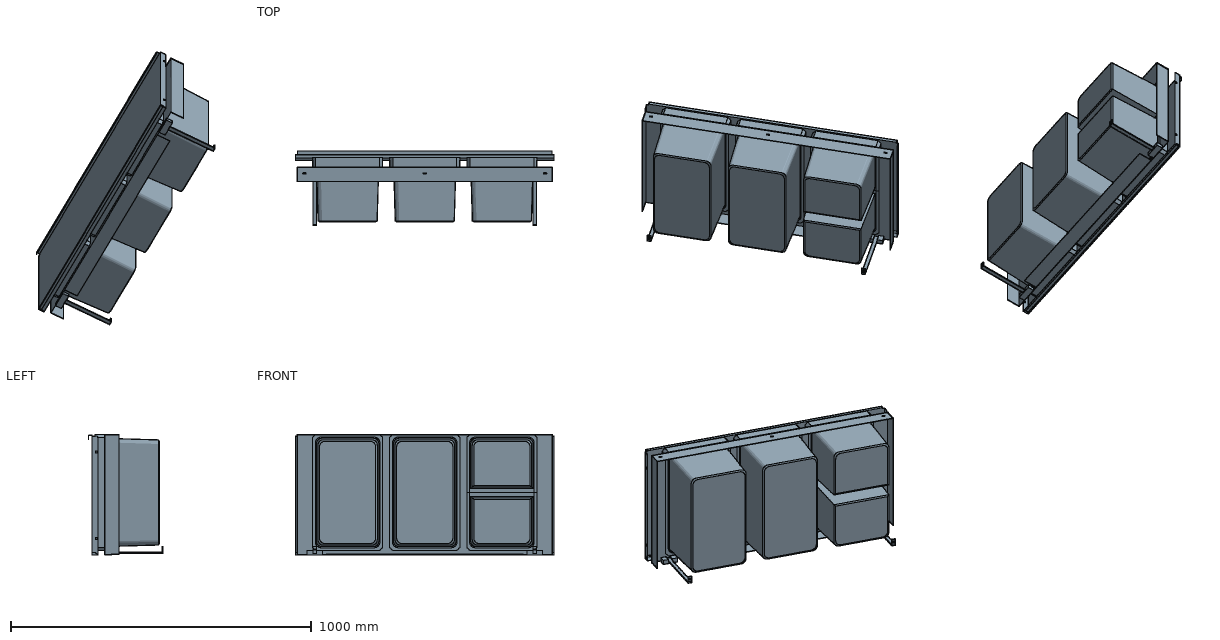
import cadquery as cq
import math

SHEET = 2.0
DOOR_SHEET = 1.0
BEND_RADIUS = 3.0

FRAME_WIDTH = 848.0
FRAME_TOP = 402.0
FRAME_BOTTOM = 3.0
FRAME_DEPTH = 49.0
BOTTOM_FLANGE_WIDTH = 654.0
SLOT_LENGTH = 10.0
SLOT_WIDTH = 3.5
SLOT_SPACING = 400.0
SLOT_Y = -21.5

BIN_PITCH = 256.0
RIM_WIDTH = 233.0
RIM_BOTTOM = 15.5
RIM_TOP = FRAME_TOP
RIM_MIDDLE = (RIM_BOTTOM + RIM_TOP) / 2
RIM_DEPTH = 32.0
RIM_CHAMFER = 10.0
BIN_REACH = 182.0
OPENING_INSET = 9.0
ROOT_INSET = 13.0
TIP_INSET = 18.0
OPENING_RADIUS = 21.0
BODY_RADIUS = 18.0
FLOOR_INSET = 23.0
FLOOR_BEVEL = 3.0

DOOR_WIDTH = 860.0
DOOR_SIDE_TOP = 396.0
DOOR_TOP = 399.0
DOOR_BACK = 41.0
DOOR_FLANGE_FRONT = 21.0
DOOR_SIDE_CORNER = 3.5
LIP_WIDTH = 846.0
LIP_BACK = 53.0
LIP_DROP = 15.0
LEDGE_HEIGHT = 9.5
LEDGE_FRONT = DOOR_FLANGE_FRONT + LEDGE_HEIGHT
CATCH_WIDTH = 4.0
CATCH_HEIGHT = 7.0
CATCH_Y = 27.0
CATCH_HEIGHTS = (56.0, 342.0)

ROD_X = 365.5
ROD_WIDTH = 13.0
ROD_BOTTOM = 6.0
ROD_TOP = 10.0
ROD_FRONT = -195.0
HOOK_TOP = 29.0
HOOK_THICKNESS = 3.5
NOTCH_DEPTH = 9.0
NOTCH_BOTTOM = 18.0
NOTCH_TOP = 21.5
BRACKET_WIDTH = 52.0
BRACKET_DEPTH = 22.0
BRACKET_HEIGHT = 15.5


def box(x_range, y_range, z_range):
    """A box given by its limits along each axis."""
    size = [high - low for low, high in (x_range, y_range, z_range)]
    corner = (x_range[0], y_range[0], z_range[0])
    return cq.Workplane("XY").box(*size, centered=False).translate(corner)


def centered_box(width, y_range, z_range):
    return box((-width / 2, width / 2), y_range, z_range)


def rounded_outline(plane, x_center, width, z_range, bottom_radius, top_radius):
    """A rectangle whose bottom and top corner pairs are rounded, or sharp where the radius is 0."""
    left = x_center - width / 2
    right = x_center + width / 2
    bottom, top = z_range
    bottom_cut = bottom_radius * (1 - math.sqrt(0.5))
    top_cut = top_radius * (1 - math.sqrt(0.5))
    outline = plane.moveTo(left + bottom_radius, bottom).lineTo(right - bottom_radius, bottom)
    if bottom_radius:
        middle = (right - bottom_cut, bottom + bottom_cut)
        outline = outline.threePointArc(middle, (right, bottom + bottom_radius))
    outline = outline.lineTo(right, top - top_radius)
    if top_radius:
        middle = (right - top_cut, top - top_cut)
        outline = outline.threePointArc(middle, (right - top_radius, top))
    outline = outline.lineTo(left + top_radius, top)
    if top_radius:
        middle = (left + top_cut, top - top_cut)
        outline = outline.threePointArc(middle, (left, top - top_radius))
    if bottom_radius:
        middle = (left + bottom_cut, bottom + bottom_cut)
        outline = outline.lineTo(left, bottom + bottom_radius)
        outline = outline.threePointArc(middle, (left + bottom_radius, bottom))
    return outline.close()


def make_frame():
    half = FRAME_WIDTH / 2
    solid = centered_box(FRAME_WIDTH, (-FRAME_DEPTH, 0), (FRAME_BOTTOM, FRAME_TOP))
    solid = solid.edges(">Y").fillet(BEND_RADIUS)
    inside = (FRAME_BOTTOM + SHEET, FRAME_TOP - SHEET)
    frame = solid.cut(centered_box(FRAME_WIDTH - 2 * SHEET, (-FRAME_DEPTH, -SHEET), inside))
    for end in ((-half + SHEET, -BOTTOM_FLANGE_WIDTH / 2), (BOTTOM_FLANGE_WIDTH / 2, half - SHEET)):
        frame = frame.cut(box(end, (-FRAME_DEPTH, -SHEET), (FRAME_BOTTOM, FRAME_BOTTOM + SHEET)))
    for column in (-1, 0, 1):
        opening = rounded_outline(
            cq.Workplane("XZ", origin=(0, BEND_RADIUS, 0)),
            column * BIN_PITCH,
            RIM_WIDTH - 2 * OPENING_INSET,
            (RIM_BOTTOM + OPENING_INSET, RIM_TOP - OPENING_INSET),
            OPENING_RADIUS,
            OPENING_RADIUS,
        ).extrude(2 * BEND_RADIUS)
        frame = frame.cut(opening)
    slots = (
        cq.Workplane("XY", origin=(0, SLOT_Y, FRAME_TOP))
        .pushPoints([(side * SLOT_SPACING, 0) for side in (-1, 0, 1)])
        .slot2D(SLOT_LENGTH, SLOT_WIDTH)
        .extrude(-SHEET)
    )
    return frame.cut(slots)


def make_bin(x_center, z_range, bottom_corners, top_corners):
    """A bin with its rim between the given heights; only the chosen corner pairs are cut or rounded."""
    low, high = z_range
    half = RIM_WIDTH / 2
    rim = box((x_center - half, x_center + half), (0, RIM_DEPTH), z_range)
    if bottom_corners:
        rim = rim.edges("|Y and <Z").chamfer(RIM_CHAMFER)
    if top_corners:
        rim = rim.edges("|Y and >Z").chamfer(RIM_CHAMFER)

    def body_outline(plane, inset):
        return rounded_outline(
            plane,
            x_center,
            RIM_WIDTH - 2 * inset,
            (low + inset, high - inset),
            BODY_RADIUS if bottom_corners else 0,
            BODY_RADIUS if top_corners else 0,
        )

    root = body_outline(cq.Workplane("XZ"), ROOT_INSET)
    wall_end = body_outline(root.workplane(offset=BIN_REACH - FLOOR_BEVEL), TIP_INSET)
    body = body_outline(wall_end.workplane(offset=FLOOR_BEVEL), FLOOR_INSET).loft(ruled=True)
    return rim.union(body)


def make_door():
    half = DOOR_WIDTH / 2
    flange = (DOOR_FLANGE_FRONT, DOOR_BACK)
    door = centered_box(DOOR_WIDTH, (DOOR_BACK - DOOR_SHEET, DOOR_BACK), (0, DOOR_SIDE_TOP))
    for inner, outer in ((-half, -half + DOOR_SHEET), (half - DOOR_SHEET, half)):
        side = box((inner, outer), flange, (0, DOOR_SIDE_TOP))
        door = door.union(side.edges("|X and >Z and <Y").chamfer(DOOR_SIDE_CORNER))
    ledge = (
        cq.Workplane("YZ", origin=(-half, 0, 0))
        .polyline([
            (DOOR_BACK, LEDGE_HEIGHT),
            (LEDGE_FRONT, LEDGE_HEIGHT),
            (DOOR_FLANGE_FRONT, DOOR_SHEET),
            (DOOR_FLANGE_FRONT, 0),
            (LEDGE_FRONT, LEDGE_HEIGHT - DOOR_SHEET),
            (DOOR_BACK, LEDGE_HEIGHT - DOOR_SHEET),
        ])
        .close()
        .extrude(DOOR_WIDTH)
    )
    door = door.union(ledge)
    lip_bottom = DOOR_TOP - LIP_DROP
    gap_y = (DOOR_BACK, LIP_BACK - DOOR_SHEET)
    lip = centered_box(LIP_WIDTH, (DOOR_BACK - DOOR_SHEET, LIP_BACK), (lip_bottom, DOOR_TOP))
    lip_gap = centered_box(LIP_WIDTH, gap_y, (lip_bottom, DOOR_TOP - DOOR_SHEET))
    lip = lip.edges("|X and >Z").fillet(BEND_RADIUS)
    door = door.union(lip.cut(lip_gap))
    catch_y = (CATCH_Y - CATCH_WIDTH / 2, CATCH_Y + CATCH_WIDTH / 2)
    for height in CATCH_HEIGHTS:
        catch_z = (height - CATCH_HEIGHT / 2, height + CATCH_HEIGHT / 2)
        door = door.cut(centered_box(DOOR_WIDTH, catch_y, catch_z))
    return door


def make_rod(side):
    """A flat rod with an upturned hook at its front end, notched on its outer side."""
    inner = side * (ROD_X - ROD_WIDTH / 2)
    outer = side * (ROD_X + ROD_WIDTH / 2)
    x_range = sorted((inner, outer))
    notch_x = sorted((outer - side * NOTCH_DEPTH, outer))
    hook_y = (ROD_FRONT, ROD_FRONT + HOOK_THICKNESS)
    bar = box(x_range, (ROD_FRONT, -SHEET), (ROD_BOTTOM, ROD_TOP))
    hook = box(x_range, hook_y, (ROD_BOTTOM, HOOK_TOP))
    return bar.union(hook).cut(box(notch_x, hook_y, (NOTCH_BOTTOM, NOTCH_TOP)))


def make_bracket(x_center):
    """A block on the front of the plate, with a groove in its top for the rod."""
    x_range = (x_center - BRACKET_WIDTH / 2, x_center + BRACKET_WIDTH / 2)
    groove_x = (x_center - ROD_WIDTH / 2, x_center + ROD_WIDTH / 2)
    y_range = (-SHEET - BRACKET_DEPTH, -SHEET)
    block = box(x_range, y_range, (0, BRACKET_HEIGHT))
    return block.cut(box(groove_x, y_range, (ROD_BOTTOM, BRACKET_HEIGHT)))


frame = make_frame()
door = make_door()
tall_bins = [make_bin(x, (RIM_BOTTOM, RIM_TOP), True, True) for x in (-BIN_PITCH, 0)]
lower_bin = make_bin(BIN_PITCH, (RIM_BOTTOM, RIM_MIDDLE), True, False)
upper_bin = make_bin(BIN_PITCH, (RIM_MIDDLE, RIM_TOP), False, True)
bins = [*tall_bins, lower_bin, upper_bin]
rods = [make_rod(side) for side in (-1, 1)]
brackets = [make_bracket(side * ROD_X) for side in (-1, 1)]

bodies = [frame, door, *bins, *rods, *brackets]
result = cq.Compound.makeCompound([body.val() for body in bodies])